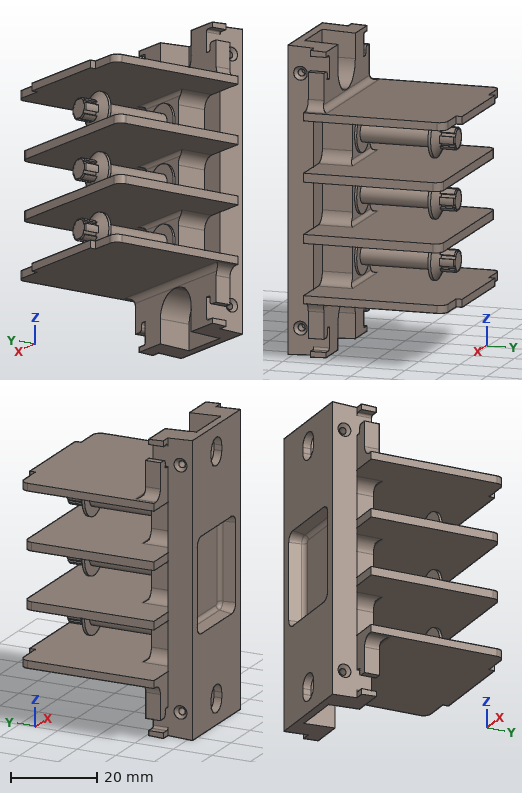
import cadquery as cq
import math

length = 73.7
plate_width = 25.2
plate_thickness = 6.35
end_rear = 10.2
end_draft = 2.5

barrier_width = 40.0
barrier_thickness = 2.15
end_barrier_thickness = 1.9
barrier_rear = 40.0
barrier_corner_radius = 2.0
end_barrier_shoulder = 41.05
end_barrier_rear = 42.5
end_tab_width = 23.95
terminal_pitch = 14.6
cell_half_gap = (terminal_pitch - barrier_thickness) / 2
end_barrier_inner = terminal_pitch + cell_half_gap
end_barrier_outer = end_barrier_inner + end_barrier_thickness

arm_half_width = 16.6
arm_top = 31.7
arm_tip_inner = 14.0
arm_tip_radius = 0.95
arm_notch_floor = 29.55
arm_notch_fillet = 0.45
arm_root_fillet = 2.5
rear_root_fillet = 1.5
hook_half_width = 15.0
hook_underside = 35.15
hook_root_fillet = 0.6

slot_length = 6.9
slot_width = 5.5
mount_height = 30.4
notch_width = 12.7
notch_front = 2.1
notch_flat = 0.75
side_hole_diameter = 1.7
side_hole_depth = 3.7
countersink_diameter = 3.3
countersink_depth = 0.8
side_hole_y = 3.1
pocket_width = 20.1
pocket_height = 23.95
pocket_depth = 4.05
pocket_corner_radius = 2.15
pocket_draft = 8.5
pocket_floor_fillet = 1.1

block_half_width = 6.3
block_rear = 13.8
block_rear_fillet = 0.95
block_side_fillet = 2.95
washer_diameter = 9.8
washer_thickness = 0.5
shank_diameter = 4.9
flange_front = 31.8
flange_rim = 0.7
cone_height = 1.6
head_rear = 37.6
head_diameter = 5.4
core_diameter = 4.6
head_chamfer = 0.3
tooth_count = 6
tooth_half_angle = 20.0

ARC_MID = math.sqrt(0.5)


def xz_plane(y):
    """Sketch plane at depth y, with local axes X and Z; extrude by a negative length to go rearward."""
    return cq.Workplane("XZ", origin=(0, y, 0))


def mirrored(half):
    return half.union(half.mirror("YZ"))


def fillet_arc(sketch, centre, radius, side_signs, end):
    """Quarter arc to `end`; side_signs holds the signs from the centre towards the arc's middle."""
    middle = (centre[0] + side_signs[0] * radius * ARC_MID, centre[1] + side_signs[1] * radius * ARC_MID)
    return sketch.threePointArc(middle, end)


def end_height(y):
    """Half length of the drafted strip at depth y."""
    return length / 2 - y * math.tan(math.radians(end_draft))


def plate():
    rear_height = end_height(plate_thickness)
    outline = [(0, -length / 2), (plate_thickness, -rear_height),
               (plate_thickness, rear_height), (0, length / 2)]
    return cq.Workplane("YZ").polyline(outline).close().extrude(plate_width / 2, both=True)


def barrier(bottom, thickness, rear):
    depth = rear - plate_thickness
    return (cq.Workplane("XY", origin=(0, plate_thickness + depth / 2, bottom))
            .rect(barrier_width, depth).extrude(thickness)
            .edges("|Z and >Y").fillet(barrier_corner_radius))


def end_barrier():
    sheet = barrier(end_barrier_inner, end_barrier_thickness, end_barrier_shoulder)
    tab_depth = end_barrier_rear - plate_thickness
    tab = (cq.Workplane("XY", origin=(0, plate_thickness + tab_depth / 2, end_barrier_inner))
           .rect(end_tab_width, tab_depth).extrude(end_barrier_thickness))
    return sheet.union(tab)


def end_block():
    """Upper end block: its outline across the strip, trimmed by its profile along the strip."""
    side = plate_width / 2
    depth = end_barrier_rear - plate_thickness
    r = arm_root_fillet
    s = xz_plane(plate_thickness).moveTo(0, end_barrier_inner)
    s = s.lineTo(arm_half_width + r, end_barrier_inner).lineTo(arm_half_width + r, end_barrier_outer)
    s = fillet_arc(s, (arm_half_width + r, end_barrier_outer + r), r, (-1, -1),
                   (arm_half_width, end_barrier_outer + r))
    s = s.lineTo(arm_half_width, arm_top).lineTo(arm_tip_inner + arm_tip_radius, arm_top)
    r = arm_tip_radius
    s = fillet_arc(s, (arm_tip_inner + r, arm_top - r), r, (-1, 1), (arm_tip_inner, arm_top - r))
    r = arm_notch_fillet
    s = s.lineTo(arm_tip_inner, arm_notch_floor + r)
    s = fillet_arc(s, (arm_tip_inner - r, arm_notch_floor + r), r, (1, -1),
                   (arm_tip_inner - r, arm_notch_floor))
    r = hook_root_fillet
    s = s.lineTo(side, arm_notch_floor).lineTo(side, hook_underside - r)
    s = fillet_arc(s, (side + r, hook_underside - r), r, (-1, 1), (side + r, hook_underside))
    s = s.lineTo(hook_half_width, hook_underside).lineTo(hook_half_width, length / 2)
    across = mirrored(s.lineTo(0, length / 2).close().extrude(-depth))

    r = rear_root_fillet
    p = cq.Workplane("YZ").moveTo(plate_thickness, end_barrier_inner)
    p = p.lineTo(end_rear + r, end_barrier_inner).lineTo(end_rear + r, end_barrier_outer)
    p = fillet_arc(p, (end_rear + r, end_barrier_outer + r), r, (-1, -1),
                   (end_rear, end_barrier_outer + r))
    p = p.lineTo(end_rear, end_height(end_rear)).lineTo(plate_thickness, end_height(plate_thickness))
    along = p.close().extrude(barrier_width / 2, both=True)
    return across.intersect(along)


def flared_profile(sketch, near, far, radius):
    """Outline from `near` to `far`, flaring by `radius` onto the barriers at both ends."""
    top = cell_half_gap
    s = sketch.moveTo(near, -top).lineTo(far + radius, -top)
    s = fillet_arc(s, (far + radius, radius - top), radius, (-1, -1), (far, radius - top))
    s = s.lineTo(far, top - radius)
    s = fillet_arc(s, (far + radius, top - radius), radius, (-1, 1), (far + radius, top))
    return s.lineTo(near, top).close()


def terminal_block():
    depth = barrier_rear - plate_thickness
    across = mirrored(flared_profile(xz_plane(plate_thickness), 0, block_half_width,
                                     block_side_fillet).extrude(-depth))
    along = flared_profile(cq.Workplane("YZ"), plate_thickness, block_rear,
                           block_rear_fillet).extrude(barrier_width / 2, both=True)
    return across.intersect(along)


def screw():
    """Washer, shank and flanged head, standing on the terminal block along Y."""
    washer_rear = block_rear + washer_thickness
    cone_front = flange_front + flange_rim
    cone_rear = cone_front + cone_height
    washer_r = washer_diameter / 2
    shank_r = shank_diameter / 2
    head_r = head_diameter / 2
    body = (cq.Workplane("XY")
            .polyline([(0, block_rear), (washer_r, block_rear), (washer_r, washer_rear),
                       (shank_r, washer_rear), (shank_r, flange_front), (washer_r, flange_front),
                       (washer_r, cone_front), (core_diameter / 2, cone_rear), (0, cone_rear)])
            .close().revolve(360, (0, 0, 0), (0, 1, 0)))
    core = xz_plane(cone_front).circle(core_diameter / 2).extrude(cone_front - head_rear)
    head = (xz_plane(cone_front).circle(head_r).extrude(cone_front - head_rear)
            .faces(">Y").chamfer(head_chamfer)
            .intersect(core.union(tooth_wedges(cone_front))))
    return body.union(head)


def tooth_wedges(front):
    """Wedges from the screw axis, one for each driving tooth of the head."""
    reach = head_diameter
    half_angle = math.radians(tooth_half_angle)
    x = reach * math.cos(half_angle)
    z = reach * math.sin(half_angle)
    wedge = xz_plane(front).polyline([(0, 0), (x, -z), (x, z)]).close().extrude(front - head_rear)
    wedges = cq.Workplane("XY")
    for i in range(tooth_count):
        wedges = wedges.union(wedge.rotate((0, 0, 0), (0, 1, 0), i * 360 / tooth_count))
    return wedges


def end_notch():
    """Round-bottomed notch, open at the end and rear of the upper end block."""
    half = notch_width / 2
    flat = notch_flat / 2
    r = half - flat
    s = xz_plane(notch_front).moveTo(-flat, mount_height - r).lineTo(flat, mount_height - r)
    s = fillet_arc(s, (flat, mount_height), r, (1, -1), (half, mount_height))
    s = s.lineTo(half, length / 2).lineTo(-half, length / 2).lineTo(-half, mount_height)
    s = fillet_arc(s, (-flat, mount_height), r, (-1, -1), (-flat, mount_height - r))
    return s.close().extrude(notch_front - end_barrier_rear)


def mounting_slot():
    return xz_plane(0).center(0, mount_height).slot2D(slot_length, slot_width, 90).extrude(-plate_thickness)


def side_hole():
    """Blind countersunk hole in the -X side of the strip."""
    mouth_r = countersink_diameter / 2
    hole_r = side_hole_diameter / 2
    return (cq.Workplane("XY", origin=(-plate_width / 2, side_hole_y, mount_height))
            .polyline([(0, 0), (0, mouth_r), (countersink_depth, hole_r),
                       (side_hole_depth, hole_r), (side_hole_depth, 0)])
            .close().revolve(360, (0, 0, 0), (1, 0, 0)))


def front_pocket():
    return (xz_plane(0).sketch().rect(pocket_width, pocket_height)
            .vertices().fillet(pocket_corner_radius).finalize()
            .extrude(-pocket_depth, taper=pocket_draft)
            .faces(">Y").edges().fillet(pocket_floor_fillet))


upper_end = end_barrier().union(end_block())
end_cuts = end_notch().union(mounting_slot()).union(mirrored(side_hole()))

result = plate()
for end in (upper_end, upper_end.mirror("XY")):
    result = result.union(end)
for i in (-1, 1):
    middle = i * terminal_pitch / 2
    result = result.union(barrier(middle - barrier_thickness / 2, barrier_thickness, barrier_rear))
terminal = terminal_block().union(screw())
for i in (-1, 0, 1):
    result = result.union(terminal.translate((0, 0, i * terminal_pitch)))
for cuts in (end_cuts, end_cuts.mirror("XY"), front_pocket()):
    result = result.cut(cuts)